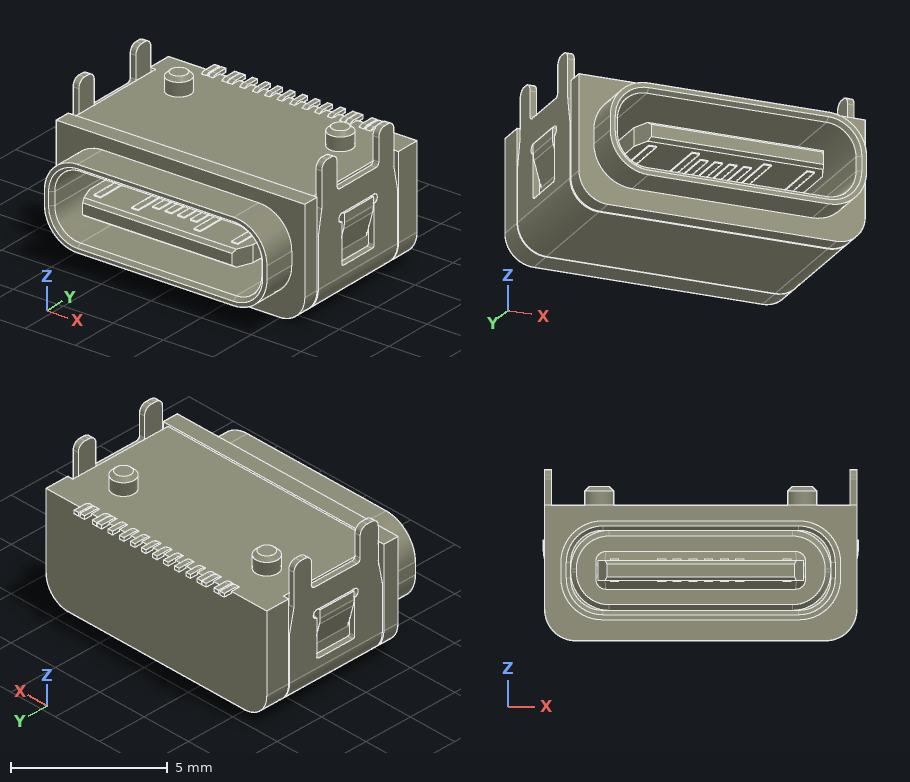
import cadquery as cq
import math


block_width = 9.97
block_bottom = -2.25
bottom_corner_radius = 1.0
flange_front = 1.31
flange_back = 1.95
flange_top = 2.08
block_back = 7.23
block_top = 2.01

groove_back = 6.24
sheet_thickness = 0.23

shell_width = 8.92
shell_height = 3.16
shell_radius = 1.33
cavity_width = 8.3
cavity_height = 2.55
cavity_radius = 1.03
mouth_chamfer = 0.14
cavity_depth = 4.72

plate_front = 4.52
plate_radius = 1.23
plate_chamfer = 0.18

tongue_front = 0.09
tongue_width = 6.55
tongue_height = 0.64
tongue_nose_width = 5.99
tongue_nose_height = 0.42
tongue_taper_end = 0.82
tongue_bevel_length = 0.15
root_front = 3.22
root_length = 0.3
root_width = 6.69
root_height = 1.21
root_radius = 0.32
root_tip_radius = 0.22

contact_width = 0.26
contact_height = 0.035
short_contact_front = 1.0
long_contact_front = 0.54
short_contact_places = [0.25, 0.75]
long_contact_places = [1.25, 2.75]

pin_width = 0.2
pin_thickness = 0.14
pin_end = 7.55
pin_bend_start = 7.08
pin_bend_radius = 0.35
pin_places = [0.25, 0.75, 1.25, 1.76, 2.25, 2.47, 3.03, 3.29]

peg_spacing = 6.47
peg_y = 5.48
peg_diameter = 0.93
peg_top = 2.68
peg_chamfer = 0.15

wedge_front = 3.34
wedge_back = 4.86
wedge_reach = 5.02
wedge_bottom = -0.5
wedge_flat_bottom = 0.51
wedge_top = 0.96
wedge_edge_radius = 0.93

clip_front = 2.02
clip_back = 6.2
clip_taper_bottom = 0.64
clip_taper_top = 1.57
leg_top = 3.22
leg_tip_radius = 0.3
front_leg_start = 2.2
front_leg_end = 3.02
back_leg_start = 5.21
back_leg_end = 6.0
saddle_height = 1.91
saddle_radius = 0.14

window_front = 3.27
window_back = 4.96
window_bottom = -0.89
window_top = 0.99
window_corner_radius = 0.09
relief_radius = 0.16

block_half = block_width / 2
seat_half = block_half - sheet_thickness
seat_bottom = block_bottom + sheet_thickness
seat_corner_radius = bottom_corner_radius - sheet_thickness


def box_between(x_min, x_max, y_min, y_max, z_min, z_max):
    return cq.Workplane("XY").box(
        x_max - x_min, y_max - y_min, z_max - z_min, centered=False
    ).translate((x_min, y_min, z_min))


def rounded_bottom_prism(half_width, bottom, top, radius, y_min, y_max):
    """Prism along Y whose two bottom edges are rounded."""
    prism = box_between(-half_width, half_width, y_min, y_max, bottom, top)
    return prism.edges("|Y and <Z").fillet(radius)


def rounded_rectangle(width, height, radius):
    return cq.Sketch().rect(width, height).vertices().fillet(radius)


def plane_at(y):
    """XZ plane at the given Y, facing the rear."""
    return cq.Plane(origin=(0, y, 0), xDir=(-1, 0, 0), normal=(0, 1, 0))


def rounded_prism(width, height, radius, y_min, y_max):
    return cq.Workplane(plane_at(y_min)).placeSketch(
        rounded_rectangle(width, height, radius)
    ).extrude(y_max - y_min)


def loft_between(front_sketch, y_front, back_sketch, y_back):
    return cq.Workplane(plane_at(y_front)).placeSketch(
        front_sketch, back_sketch.moved(cq.Location(cq.Vector(0, 0, y_back - y_front)))
    ).loft()


def make_block():
    flange = rounded_bottom_prism(
        block_half, block_bottom, flange_top, bottom_corner_radius, flange_front, flange_back
    )
    seat = rounded_bottom_prism(
        seat_half, seat_bottom, block_top, seat_corner_radius, flange_front, block_back
    )
    rear = rounded_bottom_prism(
        block_half, block_bottom, block_top, bottom_corner_radius, groove_back, block_back
    )
    return flange.union(seat).union(rear)


def make_cavity():
    bore = rounded_prism(cavity_width, cavity_height, cavity_radius, 0, cavity_depth)
    mouth = loft_between(
        rounded_rectangle(
            cavity_width + 2 * mouth_chamfer,
            cavity_height + 2 * mouth_chamfer,
            cavity_radius + mouth_chamfer,
        ),
        0,
        rounded_rectangle(cavity_width, cavity_height, cavity_radius),
        mouth_chamfer,
    )
    return bore.union(mouth)


def make_plate():
    plate = rounded_prism(cavity_width, cavity_height, plate_radius, plate_front, cavity_depth)
    return plate.faces("<Y").chamfer(plate_chamfer)


def make_tongue():
    side = tongue_width / 2
    nose_side = tongue_nose_width / 2
    plan = cq.Workplane("XY").polyline([
        (-nose_side, tongue_front),
        (nose_side, tongue_front),
        (side, tongue_taper_end),
        (side, cavity_depth),
        (-side, cavity_depth),
        (-side, tongue_taper_end),
    ]).close().extrude(tongue_height / 2, both=True)
    bevel_end = tongue_front + tongue_bevel_length
    profile = cq.Workplane("YZ").polyline([
        (tongue_front, -tongue_nose_height / 2),
        (bevel_end, -tongue_height / 2),
        (cavity_depth, -tongue_height / 2),
        (cavity_depth, tongue_height / 2),
        (bevel_end, tongue_height / 2),
        (tongue_front, tongue_nose_height / 2),
    ]).close().extrude(side, both=True)
    root_back = root_front + root_length
    root_slope = loft_between(
        rounded_rectangle(tongue_width, tongue_height, root_tip_radius),
        root_front,
        rounded_rectangle(root_width, root_height, root_radius),
        root_back,
    )
    root = rounded_prism(root_width, root_height, root_radius, root_back, cavity_depth)
    return plan.intersect(profile).union(root_slope).union(root)


def make_contact(x, y_front):
    """One strip right through the tongue, standing proud of both faces."""
    half_height = tongue_height / 2 + contact_height
    return box_between(
        x - contact_width / 2, x + contact_width / 2, y_front, cavity_depth, -half_height, half_height
    )


def make_pin(x):
    """Flat solder pin that bends down into the top of the block."""
    bottom = flange_top - pin_thickness
    bend_angle = math.acos(1 - pin_thickness / pin_bend_radius)

    def bend_point(angle):
        return (
            pin_bend_start - pin_bend_radius * math.sin(angle),
            flange_top - pin_bend_radius * (1 - math.cos(angle)),
        )

    return (
        cq.Workplane("YZ", origin=(x, 0, 0))
        .moveTo(pin_end, bottom)
        .lineTo(pin_end, flange_top)
        .lineTo(pin_bend_start, flange_top)
        .threePointArc(bend_point(bend_angle / 2), bend_point(bend_angle))
        .close()
        .extrude(pin_width / 2, both=True)
    )


def make_peg(x):
    peg = cq.Workplane("XY", origin=(x, peg_y, block_top)).circle(peg_diameter / 2).extrude(
        peg_top - block_top
    )
    return peg.faces(">Z").chamfer(peg_chamfer)


def make_wedge(side):
    """Ramp that thickens upward and catches the top edge of a clip window."""
    wedge = (
        cq.Workplane("XZ", origin=(0, wedge_back, 0))
        .polyline([
            (side * seat_half, wedge_bottom),
            (side * wedge_reach, wedge_flat_bottom),
            (side * wedge_reach, wedge_top),
            (side * seat_half, wedge_top),
        ])
        .close()
        .extrude(wedge_back - wedge_front)
    )
    ramp_edge = cq.selectors.NearestToPointSelector(
        (side * wedge_reach, (wedge_front + wedge_back) / 2, wedge_flat_bottom)
    )
    return wedge.edges(ramp_edge).fillet(wedge_edge_radius)


def make_housing():
    housing = make_block().union(
        rounded_prism(shell_width, shell_height, shell_radius, 0, flange_back)
    )
    housing = housing.cut(make_cavity()).union(make_plate()).union(make_tongue())
    for side in (-1, 1):
        for place in short_contact_places:
            housing = housing.union(make_contact(side * place, short_contact_front))
        for place in long_contact_places:
            housing = housing.union(make_contact(side * place, long_contact_front))
        for place in pin_places:
            housing = housing.union(make_pin(side * place))
        housing = housing.union(make_peg(side * peg_spacing / 2))
        housing = housing.union(make_wedge(side))
    return housing


def make_clip_outline():
    """Side shape of the clip: a tapered body with two round-tipped legs, through the full width."""
    body = cq.Workplane("YZ").polyline([
        (clip_front, block_bottom),
        (clip_back, block_bottom),
        (clip_back, clip_taper_bottom),
        (back_leg_end, clip_taper_top),
        (back_leg_end, leg_top),
        (front_leg_start, leg_top),
        (front_leg_start, clip_taper_top),
        (clip_front, clip_taper_bottom),
    ]).close().extrude(block_half, both=True)
    saddle = box_between(
        -block_half, block_half, front_leg_end, back_leg_start, saddle_height, leg_top
    ).edges("|X and <Z").fillet(saddle_radius)
    return body.cut(saddle).edges("|X and >Z").fillet(leg_tip_radius)


def make_window():
    """Window with round reliefs at its two upper corners, through the full width."""
    window = box_between(
        -block_half, block_half, window_front, window_back, window_bottom, window_top
    ).edges("|X and <Z").fillet(window_corner_radius)
    reliefs = (
        cq.Workplane("YZ")
        .pushPoints([(y, window_top - relief_radius) for y in (window_front, window_back)])
        .circle(relief_radius)
        .extrude(block_half, both=True)
    )
    return window.union(reliefs)


def make_clip():
    outside = rounded_bottom_prism(
        block_half, block_bottom, leg_top, bottom_corner_radius, clip_front, clip_back
    )
    inside = rounded_bottom_prism(
        seat_half, seat_bottom, leg_top, seat_corner_radius, clip_front, clip_back
    )
    return outside.cut(inside).intersect(make_clip_outline()).cut(make_window())


housing = make_housing()
clip = make_clip()
result = cq.Compound.makeCompound([housing.val(), clip.val()])